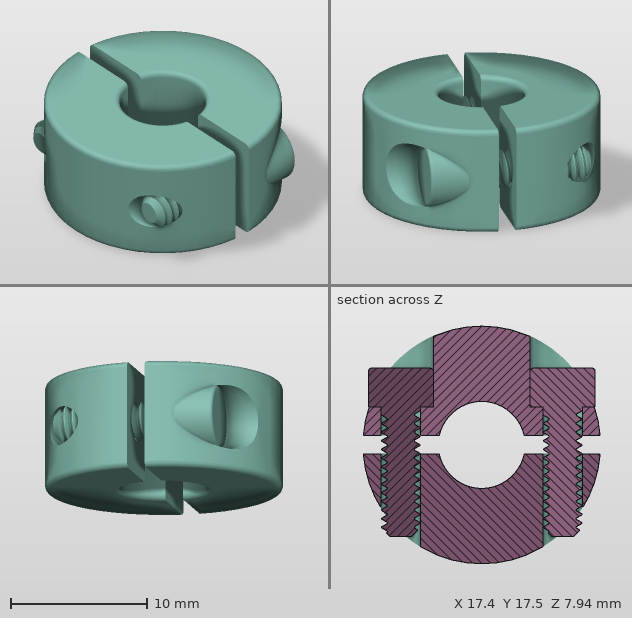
import cadquery as cq
import math

INCH = 25.4

outer_diameter = 11 / 16 * INCH
bore_diameter = INCH / 4
collar_height = 5 / 16 * INCH
edge_radius = INCH / 64
gap_width = 1.32

screw_offset = 5.94
screw_positions = (-screw_offset, screw_offset)
thread_diameter = 0.112 * INCH
thread_pitch = INCH / 40
thread_half_angle = math.radians(30)
thread_crest_flat = thread_pitch / 8
thread_root_flat = thread_pitch / 8
screw_length = 3 / 8 * INCH
tip_diameter = 1.6
head_diameter = 3 / 16 * INCH
head_height = thread_diameter
head_edge_radius = 0.22

seat_y = 2.8
counterbore_diameter = head_diameter
screw_hole_diameter = thread_diameter

thread_depth = (thread_pitch - thread_crest_flat - thread_root_flat) / (2 * math.tan(thread_half_angle))
groove_overcut = thread_crest_flat / 10
groove_start_below_seat = 0.93 * thread_pitch


def cylinder_along_y(diameter, start_y, end_y, center_x):
    """Cylinder on the line through center_x at mid height, from start_y to end_y."""
    return (
        cq.Workplane("XZ", origin=(center_x, start_y, 0))
        .circle(diameter / 2)
        .extrude(start_y - end_y)
    )


def make_ring():
    """Whole collar with rounded rims, before it is split."""
    return (
        cq.Workplane("XY")
        .circle(outer_diameter / 2)
        .circle(bore_diameter / 2)
        .extrude(collar_height / 2, both=True)
        .faces("|Z")
        .edges()
        .fillet(edge_radius)
    )


def make_half(side):
    """Half of the ring on the +Y (side = 1) or -Y (side = -1) side, with its two screw holes."""
    keep = cq.Workplane("XY").box(outer_diameter, outer_diameter, collar_height)
    keep = keep.translate((0, side * (outer_diameter + gap_width) / 2, 0))
    half = make_ring().intersect(keep)
    for center_x in screw_positions:
        half = half.cut(cylinder_along_y(screw_hole_diameter, 0, side * outer_diameter, center_x))
    return half


def make_head_half():
    """Half that holds the screw heads in counterbores open to +Y."""
    half = make_half(1)
    for center_x in screw_positions:
        half = half.cut(cylinder_along_y(counterbore_diameter, seat_y, outer_diameter, center_x))
    return half


def make_nut_half():
    """Half that takes the threaded ends of the screws."""
    return make_half(-1)


def make_thread_groove():
    """Right-hand helical groove around Z, rising from z = 0."""
    major_radius = thread_diameter / 2
    inner_r = major_radius - thread_depth
    outer_r = major_radius + groove_overcut
    inner_half_width = thread_root_flat / 2
    outer_half_width = inner_half_width + (thread_depth + groove_overcut) * math.tan(thread_half_angle)
    groove_length = screw_length - groove_start_below_seat + thread_pitch
    path = cq.Wire.makeHelix(thread_pitch, groove_length, major_radius)
    return (
        cq.Workplane("XZ")
        .moveTo(inner_r, -inner_half_width)
        .lineTo(outer_r, -outer_half_width)
        .lineTo(outer_r, outer_half_width)
        .lineTo(inner_r, inner_half_width)
        .close()
        .sweep(cq.Workplane(path), isFrenet=True)
    )


def make_screw():
    """Cap screw along Z: underside of the head at z = 0, tip toward +Z."""
    shank = (
        cq.Workplane("XY")
        .circle(thread_diameter / 2)
        .extrude(screw_length)
        .faces(">Z")
        .chamfer((thread_diameter - tip_diameter) / 2)
        .cut(make_thread_groove().translate((0, 0, groove_start_below_seat)))
    )
    head = (
        cq.Workplane("XY")
        .circle(head_diameter / 2)
        .extrude(-head_height)
        .faces("<Z")
        .edges()
        .fillet(head_edge_radius)
    )
    return shank.union(head).solids()


def place_screw(screw, center_x):
    """Turn the tip to -Y and put the head on its seat."""
    return screw.rotate((0, 0, 0), (1, 0, 0), 90).translate((center_x, seat_y, 0))


head_half = make_head_half()
nut_half = make_nut_half()
screw_along_z = make_screw()
screws = [place_screw(screw_along_z, center_x) for center_x in screw_positions]

result = cq.Compound.makeCompound([
    head_half.val(),
    nut_half.val(),
    *[screw.val() for screw in screws],
])